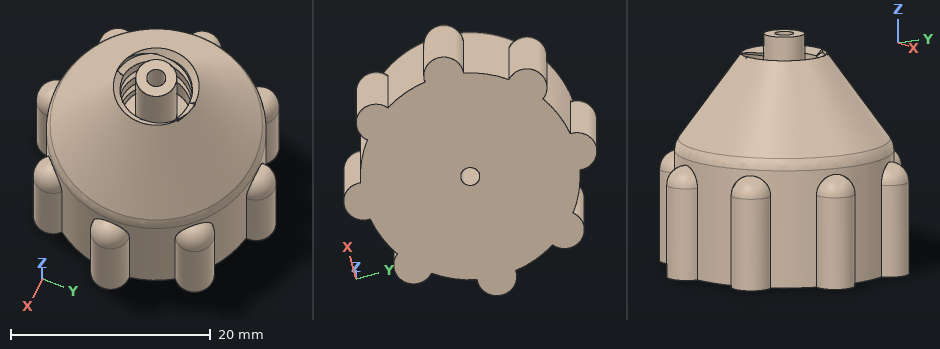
import cadquery as cq
import math

body_radius = 11.0
shoulder_height = 12.6
shoulder_fillet = 2.0
rim_radius = 4.3
rim_height = 21.87

grip_count = 8
grip_radius = 2.0
grip_straight_height = 9.35

overall_height = 23.85
tip_radius = 2.05
bore_radius = 0.95

crest_radius = 3.61
mouth_chamfer_depth = 0.65
socket_depth = 7.8
floor_slope = 13.0

thread_starts = 2
thread_lead = 5.72
root_radius = 4.32
root_width = 0.68
flank_height = 0.35
thread_end_gap = 1.05
thread_end_angle = 90.0

socket_floor = rim_height - socket_depth


def revolve_profile(points):
    """Turn a closed outline of (radius, height) points about the Z axis."""
    return cq.Workplane("XZ").polyline(points).close().revolve(360, (0, 0), (0, 1))


def make_body():
    body = revolve_profile([
        (0, 0),
        (body_radius, 0),
        (body_radius, shoulder_height),
        (rim_radius, rim_height),
        (0, rim_height),
    ])
    return body.faces("%CONE").edges("<Z").fillet(shoulder_fillet)


def make_grip(angle):
    grip = cq.Workplane("XY").circle(grip_radius).extrude(grip_straight_height)
    dome = cq.Workplane("XY").sphere(grip_radius).translate((0, 0, grip_straight_height))
    return grip.union(dome).translate((body_radius, 0, 0)).rotate((0, 0, 0), (0, 0, 1), angle)


def make_socket():
    """Ring-shaped space between the socket wall and the tip."""
    floor_rise = (crest_radius - tip_radius) * math.tan(math.radians(floor_slope))
    return revolve_profile([
        (tip_radius, socket_floor + floor_rise),
        (crest_radius, socket_floor),
        (crest_radius, rim_height - mouth_chamfer_depth),
        (rim_radius, rim_height),
        (rim_radius, overall_height),
        (tip_radius, overall_height),
    ])


def make_thread_groove(end_angle):
    """Helical groove that rises from near the socket floor and stops square at the rim."""
    start_height = socket_floor + thread_end_gap
    rise_to_rim = rim_height - start_height
    start_angle = end_angle - 360 * rise_to_rim / thread_lead

    overlap = 0.25
    flank_rise = flank_height / (root_radius - crest_radius)
    mouth_half_width = root_width / 2 + flank_height + overlap * flank_rise
    mouth_radius = crest_radius - overlap

    helix = cq.Wire.makeHelix(thread_lead, rise_to_rim, crest_radius)
    groove = cq.Workplane("XZ").polyline([
        (mouth_radius, -mouth_half_width),
        (root_radius, -root_width / 2),
        (root_radius, root_width / 2),
        (mouth_radius, mouth_half_width),
    ]).close().sweep(cq.Workplane(helix), isFrenet=True)
    return groove.rotate((0, 0, 0), (0, 0, 1), start_angle).translate((0, 0, start_height))


result = make_body()
for i in range(grip_count):
    result = result.union(make_grip(i * 360 / grip_count))

result = result.union(cq.Workplane("XY").circle(tip_radius).extrude(overall_height))
result = result.cut(make_socket())
for i in range(thread_starts):
    result = result.cut(make_thread_groove(thread_end_angle + i * 360 / thread_starts))
result = result.cut(cq.Workplane("XY").circle(bore_radius).extrude(overall_height))